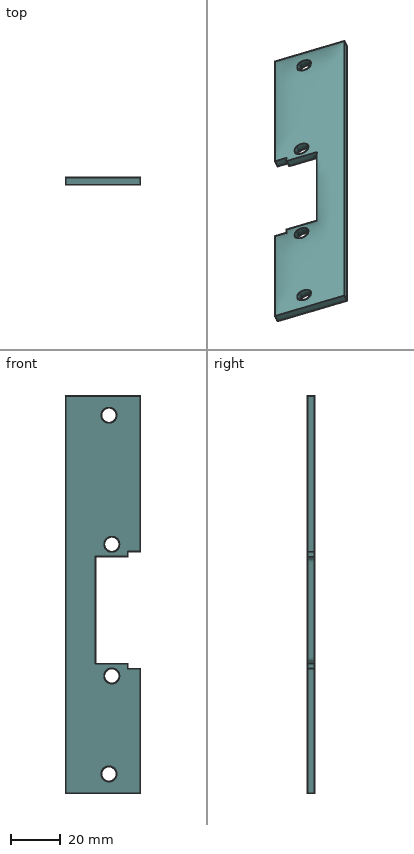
import cadquery as cq

WIDTH = 30.0
THICKNESS = 3.0
HEIGHT = 160.0

NOTCH_CENTRE_Z = -6.25
NOTCH_HEIGHT = 43.0
NOTCH_FLOOR_WIDTH = 12.0
STEP_DEPTH = 5.0
STEP_RISE = 2.0

HOLE_DIAMETER = 6.0
END_HOLE_X = 17.4
END_HOLE_MARGIN = 7.8
NOTCH_HOLE_X = 18.55
NOTCH_HOLE_SPACING = 53.0

LEFT_EDGE = -WIDTH / 2
RIGHT_EDGE = WIDTH / 2


def make_plate():
    return cq.Workplane("XY").box(WIDTH, THICKNESS, HEIGHT)


def edge_cutout(depth, height):
    """Block that cuts the +X edge through the full thickness."""
    centre_x = RIGHT_EDGE - depth / 2
    block = cq.Workplane("XY").box(depth, THICKNESS, height)
    return block.translate((centre_x, 0, NOTCH_CENTRE_Z))


def cut_notch(plate):
    notch = edge_cutout(WIDTH - NOTCH_FLOOR_WIDTH, NOTCH_HEIGHT)
    mouth = edge_cutout(STEP_DEPTH, NOTCH_HEIGHT + 2 * STEP_RISE)
    return plate.cut(notch).cut(mouth)


def drill_holes(plate):
    end_hole_z = HEIGHT / 2 - END_HOLE_MARGIN
    centres = []
    for side in (1, -1):
        centres.append((LEFT_EDGE + END_HOLE_X, side * end_hole_z))
        notch_hole_z = NOTCH_CENTRE_Z + side * NOTCH_HOLE_SPACING / 2
        centres.append((LEFT_EDGE + NOTCH_HOLE_X, notch_hole_z))
    front_face = cq.Workplane("XZ", origin=(0, -THICKNESS / 2, 0))
    drills = front_face.pushPoints(centres).circle(HOLE_DIAMETER / 2).extrude(-THICKNESS)
    return plate.cut(drills)


result = drill_holes(cut_notch(make_plate()))